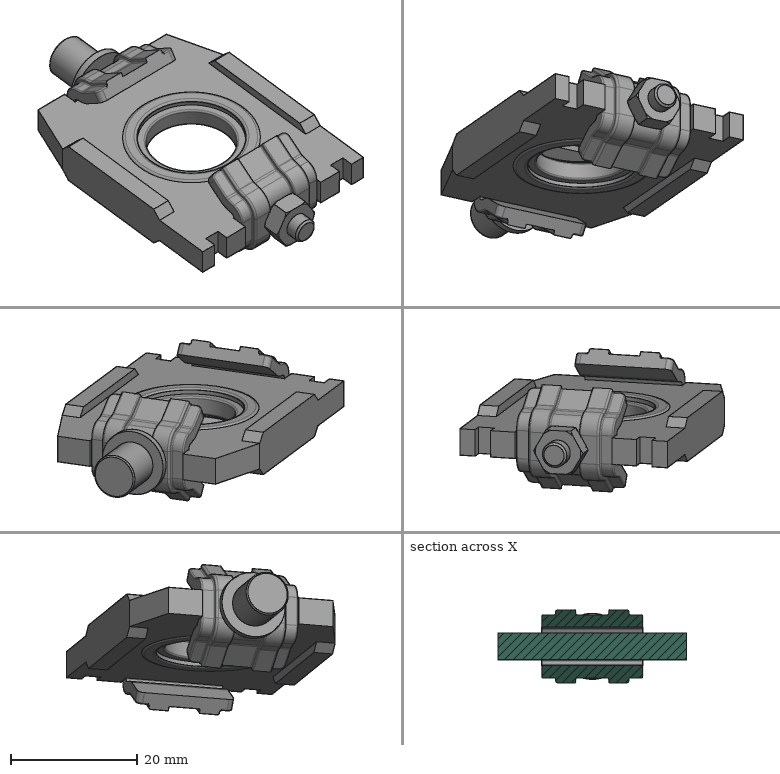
import cadquery as cq
import math

plate_left = -21.2
plate_right = 21.75
plate_width = 34.2
plate_thickness = 4.3
corner_cut_x = 9.7
corner_cut_y = 3.45
edge_slot_depth = 2.05
edge_slot_width = 2.6
edge_slot_y = 13.3

rail_length = 23.0
rail_width = 3.1
rail_height = 7.1

boss_diameter = 22.0
boss_height = 4.8
boss_rounding = 0.5
seat_diameter = 17.2

bush_bore = 14.4
bush_length = 3.0
bush_mouth_rounding = 0.3

clip_width = 16.05
clip_thickness = 2.0
clip_offset_x = 0.1
spine_x = 20.85
spine_half_height = 2.3
bend_radius = 2.6
shoulder_angle = math.radians(12)
shoulder_length = 1.45
arm_angle = math.radians(35)
arm_bend_radius = 1.0
arm_length = 4.35
tip_corner_radius = 1.0
edge_rounding = 0.25

rib_height = 0.75
rib_width = 3.25
rib_y = 4.21
rib_outer_rounding = 0.35
rib_inner_rounding = 0.2
rib_foot_rounding = 0.2

pin_diameter = 7.0
pin_end = -30.0
pin_chamfer = 0.25
flange_diameter = 10.5
flange_thickness = 1.2

nut_across_flats = 7.05
nut_height = 3.2
nut_chamfer_length = 0.2
nut_chamfer_depth = 0.35
stud_diameter = 4.0
stud_end = 27.25
stud_chamfer = 0.35

middle_width = 2 * rib_y + rib_width + 2 * edge_rounding
rib_x = spine_x + rib_height
left_rib_x = clip_offset_x - rib_x
right_rib_x = clip_offset_x + rib_x
left_notch_floor = clip_offset_x - spine_x + clip_thickness
right_notch_floor = clip_offset_x + spine_x - clip_thickness


def cylinder_x(diameter, start_x, length):
    """Cylinder along +X, starting at start_x."""
    return cq.Workplane("YZ", origin=(start_x, 0, 0)).circle(diameter / 2).extrude(length)


def ring(outer_diameter, inner_diameter, height):
    """Ring around the Z axis, centred on the mid-plane."""
    return (
        cq.Workplane("XY", origin=(0, 0, -height / 2))
        .circle(outer_diameter / 2)
        .circle(inner_diameter / 2)
        .extrude(height)
    )


def both_faces(upper):
    """The shape together with its mirror image below the mid-plane."""
    return upper.union(upper.mirror("XY"))


def make_plate():
    half_width = plate_width / 2
    plate = (
        cq.Workplane("XY", origin=(0, 0, -plate_thickness / 2))
        .moveTo(plate_left, half_width - corner_cut_y)
        .lineTo(plate_left + corner_cut_x, half_width)
        .lineTo(plate_right, half_width)
        .lineTo(plate_right, -half_width)
        .lineTo(plate_left + corner_cut_x, -half_width)
        .lineTo(plate_left, -half_width + corner_cut_y)
        .close()
        .extrude(plate_thickness)
    )

    rail_ramp = (rail_height - plate_thickness) / 2
    rail_top_x = rail_length / 2 - rail_ramp
    for side in (-1, 1):
        rail = (
            cq.Workplane("XZ", origin=(0, side * (half_width - rail_width / 2), 0))
            .moveTo(-rail_length / 2, plate_thickness / 2)
            .lineTo(-rail_top_x, rail_height / 2)
            .lineTo(rail_top_x, rail_height / 2)
            .lineTo(rail_length / 2, plate_thickness / 2)
            .lineTo(rail_length / 2, 0)
            .lineTo(-rail_length / 2, 0)
            .close()
            .extrude(rail_width / 2, both=True)
        )
        plate = plate.union(both_faces(rail))

    for side in (-1, 1):
        slot = cq.Workplane("XY").box(2 * edge_slot_depth, edge_slot_width, plate_thickness)
        plate = plate.cut(slot.translate((plate_right, side * edge_slot_y, 0)))

    for edge_x, notch_floor in ((plate_left, left_notch_floor), (plate_right, right_notch_floor)):
        notch = cq.Workplane("XY").box(2 * abs(edge_x - notch_floor), clip_width, plate_thickness)
        plate = plate.cut(notch.translate((edge_x, 0, 0)))

    boss = ring(boss_diameter, seat_diameter, boss_height).faces("<Z or >Z").fillet(boss_rounding)
    seat = cq.Workplane("XY").circle(seat_diameter / 2).extrude(plate_thickness, both=True)
    return plate.cut(seat).union(boss)


def make_bush():
    bush = ring(seat_diameter, bush_bore, bush_length)
    bore_edges = cq.selectors.RadiusNthSelector(0)
    return bush.faces("<Z or >Z").edges(bore_edges).fillet(bush_mouth_rounding)


def clip_curve(offset):
    """Points of the upper half of the right clip's outer face, moved outwards by offset.

    Spine foot, spine top, bend middle, bend end, arm bend start, middle and end, tip.
    """
    bend_center = (spine_x - bend_radius, spine_half_height)

    def on_bend(angle, radius):
        return (
            bend_center[0] + radius * math.sin(angle),
            bend_center[1] + radius * math.cos(angle),
        )

    bend_middle_angle = (math.pi / 2 + shoulder_angle) / 2
    base_x, base_z = on_bend(shoulder_angle, bend_radius)
    shoulder_x = base_x - shoulder_length * math.cos(shoulder_angle)
    shoulder_z = base_z + shoulder_length * math.sin(shoulder_angle)
    arm_center = (
        shoulder_x + arm_bend_radius * math.sin(shoulder_angle),
        shoulder_z + arm_bend_radius * math.cos(shoulder_angle),
    )

    def on_arm_bend(angle):
        radius = arm_bend_radius - offset
        return (
            arm_center[0] - radius * math.sin(angle),
            arm_center[1] - radius * math.cos(angle),
        )

    arm_start = on_arm_bend(arm_angle)
    tip = (
        arm_start[0] - arm_length * math.cos(arm_angle),
        arm_start[1] + arm_length * math.sin(arm_angle),
    )
    return [
        (spine_x + offset, 0),
        (spine_x + offset, spine_half_height),
        on_bend(bend_middle_angle, bend_radius + offset),
        on_bend(shoulder_angle, bend_radius + offset),
        on_arm_bend(shoulder_angle),
        on_arm_bend((shoulder_angle + arm_angle) / 2),
        arm_start,
        tip,
    ]


def clip_strip(outer_offset, width, center_y):
    """Bent strip, upper half, from the clip's inner face out to outer_offset."""
    outer = clip_curve(outer_offset)
    inner = clip_curve(-clip_thickness)
    return (
        cq.Workplane("XZ", origin=(0, center_y + width / 2, 0))
        .moveTo(*outer[0])
        .lineTo(*outer[1])
        .threePointArc(outer[2], outer[3])
        .lineTo(*outer[4])
        .threePointArc(outer[5], outer[6])
        .lineTo(*outer[7])
        .lineTo(*inner[7])
        .lineTo(*inner[6])
        .threePointArc(inner[5], inner[4])
        .lineTo(*inner[3])
        .threePointArc(inner[2], inner[1])
        .lineTo(*inner[0])
        .close()
        .extrude(width)
    )


def round_long_edge(half_clip, edge_x, edge_y, radius):
    """Fillet the spine edge at (edge_x, edge_y); the fillet runs on along the bends to the tip."""
    spine_edge = cq.NearestToPointSelector((edge_x, edge_y, spine_half_height / 2))
    return half_clip.edges("|Z").edges(spine_edge).fillet(radius)


def make_clip():
    """Clip on the +X side of the origin: a bent strip with rounded tips and two ribs."""
    middle = clip_strip(0, middle_width, 0)
    rib_sides = []
    for side in (-1, 1):
        outer_side_y = side * (rib_y + rib_width / 2)
        inner_side_y = side * (rib_y - rib_width / 2)
        rib_sides += [outer_side_y, inner_side_y]
        rib = clip_strip(rib_height, rib_width, side * rib_y)
        rib = round_long_edge(rib, rib_x, outer_side_y, rib_outer_rounding)
        rib = round_long_edge(rib, rib_x, inner_side_y, rib_inner_rounding)
        middle = middle.union(rib)

    for side_y in rib_sides:
        middle = round_long_edge(middle, spine_x, side_y, rib_foot_rounding)

    arm_direction = cq.Vector(-math.cos(arm_angle), 0, math.sin(arm_angle))
    strip = (
        clip_strip(0, clip_width, 0)
        .faces(cq.DirectionMinMaxSelector(arm_direction))
        .edges("not |Y")
        .fillet(tip_corner_radius)
    )
    strip = round_long_edge(strip, spine_x, clip_width / 2, edge_rounding)
    return both_faces(strip.union(middle)).translate((clip_offset_x, 0, 0))


def make_pin():
    flange_start = left_rib_x - flange_thickness
    pin = cylinder_x(pin_diameter, pin_end, flange_start - pin_end).faces("<X").chamfer(pin_chamfer)
    return pin.union(cylinder_x(flange_diameter, flange_start, flange_thickness))


def make_nut():
    across_corners = nut_across_flats / math.cos(math.pi / 6)
    hexagon = (
        cq.Workplane("YZ", origin=(right_rib_x, 0, 0))
        .polygon(6, across_corners)
        .extrude(nut_height)
    )
    chamfered_blank = (
        cylinder_x(across_corners, right_rib_x, nut_height)
        .faces("<X or >X")
        .chamfer(nut_chamfer_length, nut_chamfer_depth)
    )
    nut = hexagon.intersect(chamfered_blank)
    stud = cylinder_x(stud_diameter, right_rib_x, stud_end - right_rib_x).faces(">X").chamfer(stud_chamfer)
    return nut.union(stud)


plate = make_plate()
bush = make_bush()

clip = make_clip()
mirrored_clip = clip.mirror("YZ").translate((2 * clip_offset_x, 0, 0))
left_clip = mirrored_clip.union(make_pin())
right_clip = clip.union(make_nut())

result = cq.Compound.makeCompound([plate.val(), bush.val(), left_clip.val(), right_clip.val()])